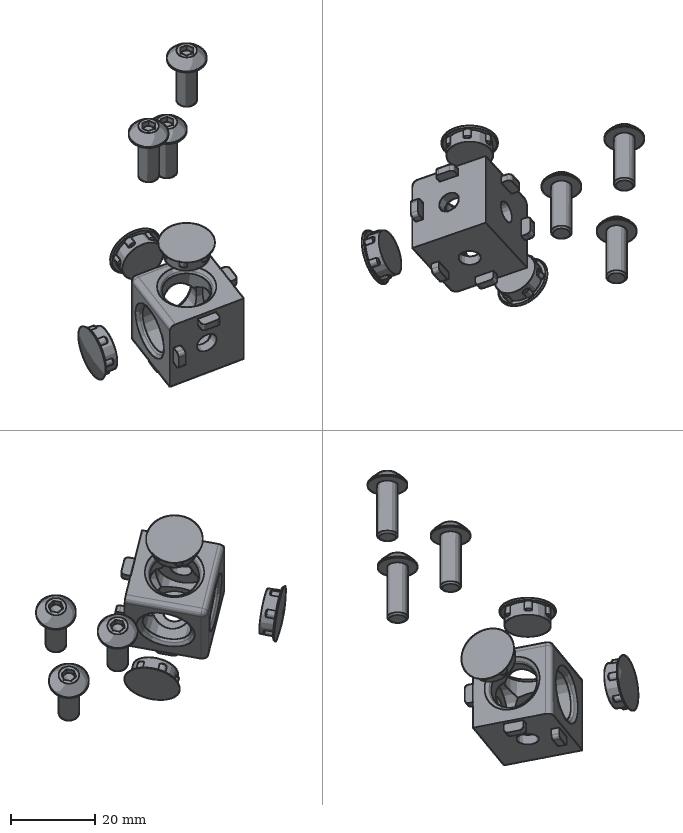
import cadquery as cq
import math

CUBE = 20.0
HALF = CUBE / 2
EDGE_ROUND = 1.5
HOLE_MOUTH_D = 14.1
HOLE_SEAT_D = 12.45
HOLE_SEAT_DEPTH = 0.7
HOLE_NECK_DEPTH = 1.3
BORE_D = 11.7
WALL = 2.5
BOLT_HOLE_D = 5.3

TAB_WIDTH = 5.0
TAB_THICKNESS = 1.95
TAB_HEIGHT = 2.5
TAB_EDGE_GAP = 1.0
TAB_ROUND = 1.0

CAP_RIM_D = 13.5
CAP_LIP_D = 12.8
CAP_LIP_HEIGHT = 0.4
CAP_DOME = 0.65
CAP_BODY_D = 11.05
CAP_HEIGHT = 4.6
BUMP_COUNT = 6
BUMP_D = 2.1
BUMP_CENTRE_R = 5.0
BUMP_LENGTH = 3.5
BUMP_CHAMFER = 0.35
CAP_TURN = 6.5
TOP_CAP_TIP = 25.25
SIDE_CAP_TIP = 26.3

HEAD_D = 9.5
HEAD_TOP_D = 4.9
HEAD_HEIGHT = 2.75
HEAD_RIM = 0.4
HEAD_BULGE = 0.1
SHANK_D = 5.0
SHANK_LENGTH = 14.0
TIP_CHAMFER = 0.45
HEX_ACROSS_FLATS = 3.05
HEX_DEPTH = 1.5
HEX_TURN = 30
DRILL_POINT_SLOPE = math.radians(30)
SCREW_TOPS = [(-38.0, 20.7, 46.2), (-31.8, 7.05, 32.8), (-40.9, 16.95, 21.8)]

X_AXIS = (1, 0, 0)
Y_AXIS = (0, 1, 0)
Z_AXIS = (0, 0, 1)
ORIGIN = (0, 0, 0)
OPEN_FACES = [(-1, 0, 0), (0, -1, 0), (0, 0, 1)]


def flip(direction):
    return tuple(-part for part in direction)


def along(direction, distance):
    return tuple(part * distance for part in direction)


def place(body, origin, x_direction, normal):
    """Move a body built about +Z so its axis points along normal at origin."""
    return cq.Workplane(body.val().moved(cq.Plane(origin, x_direction, normal).location))


def make_bore(outward):
    """Countersunk blind bore entering an open face."""
    depth = CUBE - WALL
    bore = (
        cq.Workplane("XZ")
        .moveTo(0, 0)
        .lineTo(HOLE_MOUTH_D / 2, 0)
        .lineTo(HOLE_SEAT_D / 2, -HOLE_SEAT_DEPTH)
        .lineTo(BORE_D / 2, -HOLE_NECK_DEPTH)
        .lineTo(BORE_D / 2, -depth)
        .lineTo(0, -depth)
        .close()
        .revolve(360, (0, 0), (0, 1))
    )
    x_direction = X_AXIS if outward[0] == 0 else Y_AXIS
    return place(bore, along(outward, HALF), x_direction, outward)


def make_bolt_hole(closed):
    """Bolt hole from the cube centre out through a closed face."""
    hole = cq.Solid.makeCylinder(BOLT_HOLE_D / 2, HALF, cq.Vector(*ORIGIN), cq.Vector(*closed))
    return cq.Workplane(hole)


def make_tab(closed, toward):
    """Tab on a closed face, set close to the open face it lies toward."""
    tab = (
        cq.Workplane("XY")
        .box(TAB_THICKNESS, TAB_WIDTH, TAB_HEIGHT, centered=(True, True, False))
        .edges("|X and >Z")
        .fillet(TAB_ROUND)
    )
    centre_offset = HALF - TAB_EDGE_GAP - TAB_THICKNESS / 2
    origin = tuple(a * HALF + b * centre_offset for a, b in zip(closed, toward))
    return place(tab, origin, toward, closed)


def make_cube():
    cube = cq.Workplane("XY").box(CUBE, CUBE, CUBE)
    cube = cube.edges("(<X and <Y) or (<X and >Z) or (<Y and >Z)").fillet(EDGE_ROUND)
    for outward in OPEN_FACES:
        closed = flip(outward)
        for toward in OPEN_FACES:
            if toward != outward:
                cube = cube.union(make_tab(closed, toward))
    for outward in OPEN_FACES:
        cube = cube.cut(make_bore(outward))
        cube = cube.cut(make_bolt_hole(flip(outward)))
    return cube


def make_cap():
    """Cap about the Z axis with its dome top at the origin, pointing up."""
    lip_z = -CAP_DOME - CAP_LIP_HEIGHT
    cap = (
        cq.Workplane("XZ")
        .moveTo(0, 0)
        .threePointArc((CAP_RIM_D / 4, -CAP_DOME / 4), (CAP_RIM_D / 2, -CAP_DOME))
        .lineTo(CAP_LIP_D / 2, lip_z)
        .lineTo(CAP_BODY_D / 2, lip_z)
        .lineTo(CAP_BODY_D / 2, -CAP_HEIGHT)
        .lineTo(0, -CAP_HEIGHT)
        .close()
        .revolve(360, (0, 0), (0, 1))
    )
    bumps = (
        cq.Workplane("XY")
        .workplane(offset=-BUMP_LENGTH)
        .polarArray(BUMP_CENTRE_R, 0, 360, BUMP_COUNT)
        .circle(BUMP_D / 2)
        .extrude(BUMP_LENGTH - CAP_DOME - CAP_LIP_HEIGHT / 2)
        .faces("<Z")
        .chamfer(BUMP_CHAMFER)
    )
    return cap.union(bumps)


def turned_cap(cap, tip, x_direction, outward, turn):
    turned = cap.rotate(ORIGIN, Z_AXIS, turn)
    return place(turned, along(outward, tip), x_direction, outward)


def make_screw():
    """Screw about the Z axis with its head top at the origin."""
    crown_height = HEAD_HEIGHT - HEAD_RIM
    mid_r = (HEAD_D + HEAD_TOP_D) / 4
    lean = math.atan2(crown_height, (HEAD_D - HEAD_TOP_D) / 2)
    crown = (mid_r + HEAD_BULGE * math.sin(lean), -crown_height / 2 + HEAD_BULGE * math.cos(lean))
    end = -HEAD_HEIGHT - SHANK_LENGTH
    screw = (
        cq.Workplane("XZ")
        .moveTo(0, 0)
        .lineTo(HEAD_TOP_D / 2, 0)
        .threePointArc(crown, (HEAD_D / 2, -crown_height))
        .lineTo(HEAD_D / 2, -HEAD_HEIGHT)
        .lineTo(SHANK_D / 2, -HEAD_HEIGHT)
        .lineTo(SHANK_D / 2, end + TIP_CHAMFER)
        .lineTo(SHANK_D / 2 - TIP_CHAMFER, end)
        .lineTo(0, end)
        .close()
        .revolve(360, (0, 0), (0, 1))
    )
    corner_d = HEX_ACROSS_FLATS / math.cos(math.pi / 6)
    socket = (
        cq.Workplane("XY")
        .polygon(6, corner_d)
        .extrude(-HEX_DEPTH)
        .rotate(ORIGIN, Z_AXIS, HEX_TURN)
    )
    point_r = HEX_ACROSS_FLATS / 2
    drill_point = cq.Solid.makeCone(
        point_r,
        0,
        point_r * math.tan(DRILL_POINT_SLOPE),
        cq.Vector(0, 0, -HEX_DEPTH),
        cq.Vector(0, 0, -1),
    )
    return screw.cut(socket).cut(cq.Workplane(drill_point))


cube = make_cube()

cap = make_cap()
caps = [
    turned_cap(cap, TOP_CAP_TIP, Y_AXIS, (0, 0, 1), -CAP_TURN),
    turned_cap(cap, SIDE_CAP_TIP, X_AXIS, (0, -1, 0), CAP_TURN),
    turned_cap(cap, SIDE_CAP_TIP, Y_AXIS, (-1, 0, 0), CAP_TURN),
]

screw = make_screw()
screws = [screw.translate(top) for top in SCREW_TOPS]

result = cq.Compound.makeCompound([body.val() for body in [cube, *caps, *screws]])